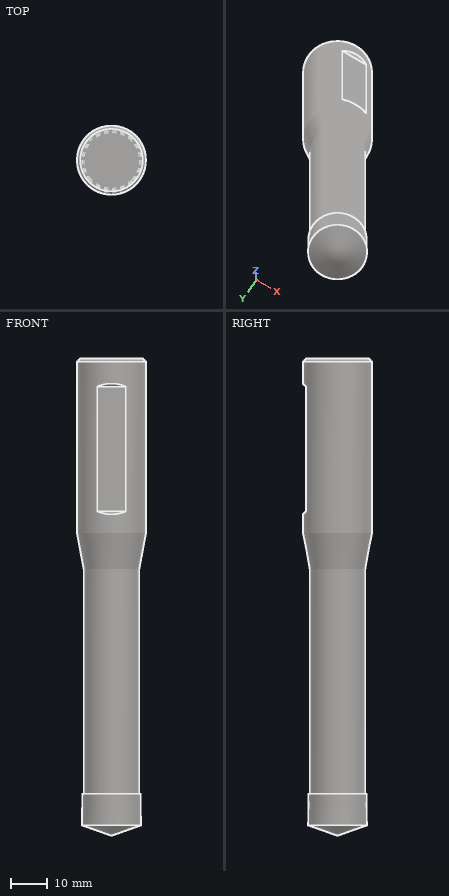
import cadquery as cq

TOTAL_LENGTH = 131.5

TIP_LOWER_DIAMETER = 16.3
TIP_UPPER_DIAMETER = 16.2
POINT_HEIGHT = 2.9
TIP_TOP_Z = 11.6

NECK_DIAMETER = 15.4
HEAD_DIAMETER = 19.1
NECK_TOP_Z = 73.5
HEAD_BOTTOM_Z = 83.4
HEAD_CHAMFER = 0.9

FLAT_DEPTH = 0.85
FLAT_BOTTOM_Z = 89.4
FLAT_TOP_Z = 123.7
CUT_MARGIN = 1.3


def revolve_profile(points):
    """Turn a closed (radius, Z) outline around the Z axis."""
    return cq.Workplane("XZ").polyline(points).close().revolve(360, (0, 0), (0, 1))


def make_flat_cutter():
    """Trapezoidal bar along X that mills the clamping flat."""
    flat_y = FLAT_DEPTH - HEAD_DIAMETER / 2
    cutter_depth = FLAT_DEPTH + CUT_MARGIN
    outer_y = flat_y - cutter_depth
    outline = [
        (flat_y, FLAT_BOTTOM_Z),
        (flat_y, FLAT_TOP_Z),
        (outer_y, FLAT_TOP_Z + cutter_depth),
        (outer_y, FLAT_BOTTOM_Z - cutter_depth),
    ]
    return cq.Workplane("YZ").polyline(outline).close().extrude(HEAD_DIAMETER / 2, both=True)


def make_shank():
    """Neck widening through a cone into a chamfered clamping head."""
    neck_radius = NECK_DIAMETER / 2
    head_radius = HEAD_DIAMETER / 2
    blank = revolve_profile([
        (0, TIP_TOP_Z),
        (neck_radius, TIP_TOP_Z),
        (neck_radius, NECK_TOP_Z),
        (head_radius, HEAD_BOTTOM_Z),
        (head_radius, TOTAL_LENGTH - HEAD_CHAMFER),
        (head_radius - HEAD_CHAMFER, TOTAL_LENGTH),
        (0, TOTAL_LENGTH),
    ])
    return blank.cut(make_flat_cutter())


def make_tip():
    """Pointed cutting tip seated against the lower face of the neck."""
    return revolve_profile([
        (0, 0),
        (TIP_LOWER_DIAMETER / 2, POINT_HEIGHT),
        (TIP_UPPER_DIAMETER / 2, TIP_TOP_Z),
        (0, TIP_TOP_Z),
    ])


shank = make_shank()
tip = make_tip()

result = cq.Compound.makeCompound([shank.val(), tip.val()])